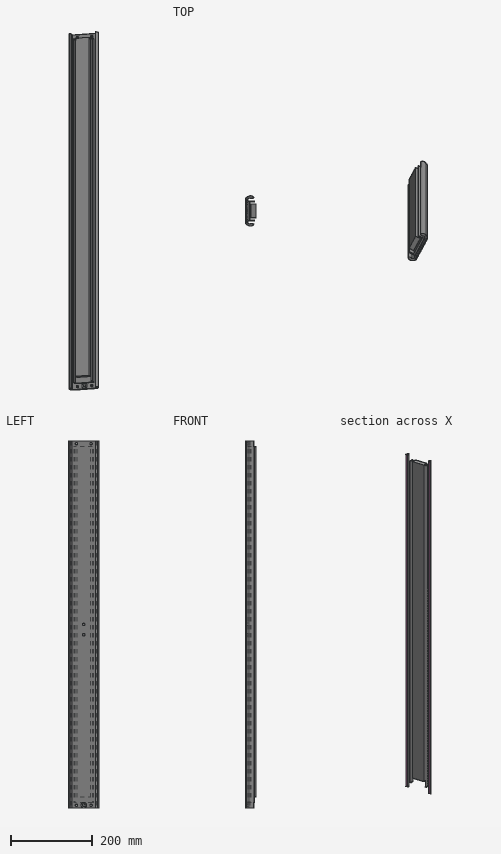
import cadquery as cq

LENGTH = 900.0
TOTAL_DEPTH = 26.0
WIDTH = 75.0
HALF_WIDTH = WIDTH / 2

PANEL_HALF_WIDTH = 29.0
PANEL_THICKNESS = 3.0
WEB_BACK = 6.0

SHOULDER_MID = (1.0, HALF_WIDTH - 6.0)
CREASE = (2.3, HALF_WIDTH - 4.2)
FLANK_MID = (5.5, HALF_WIDTH - 2.3)
FLANK_END = (9.0, HALF_WIDTH - 0.7)
CREST = (13.5, HALF_WIDTH)
TIP = (21.0, HALF_WIDTH - 4.95)
BULGE = (16.0, HALF_WIDTH - 6.75)
NECK = (11.0, HALF_WIDTH - 5.0)
WEB_CORNER = (WEB_BACK, PANEL_HALF_WIDTH + 1.0)

MOUNTING_DIAMETER = 5.0
MOUNTING_Y = 18.0
END_ROW_Z = LENGTH / 2 - 7.0
CENTRE_DIAMETER = 6.1
CENTRE_SPACING = 25.0

BUSHING_DIAMETER = 13.5
BUSHING_BORE = 5.0
FUNNEL_DEPTH = 4.0

CHANNEL_HALF_WIDTH = 24.0
CHANNEL_WALL = 3.0
CHANNEL_FLOOR = 4.5
CHANNEL_BACK = 22.5
CHANNEL_TOP = 436.0
CHANNEL_BOTTOM = -CHANNEL_TOP

BAR_FRONT = 13.5
BAR_HALF_WIDTH = 17.0
BAR_BOTTOM = -422.0


def block(front, back, half_width, bottom, top):
    """Block between two X planes and two Z levels, symmetric about Y = 0."""
    return (
        cq.Workplane("XY")
        .box(back - front, 2 * half_width, top - bottom, centered=(False, True, False))
        .translate((front, 0, bottom))
    )


def cylinder_through_web(diameter, y, z):
    """Cylinder along X from the panel face to the back of the web."""
    return cq.Workplane("YZ").center(y, z).circle(diameter / 2).extrude(WEB_BACK)


def make_face_holes():
    """All the openings shared by the panel and the web."""
    holes = cylinder_through_web(BUSHING_DIAMETER, 0, -END_ROW_Z)
    for z in (-END_ROW_Z, END_ROW_Z):
        for y in (-MOUNTING_Y, MOUNTING_Y):
            holes = holes.union(cylinder_through_web(MOUNTING_DIAMETER, y, z))
    for z in (0, -CENTRE_SPACING):
        holes = holes.union(cylinder_through_web(CENTRE_DIAMETER, 0, z))
    return holes


def make_panel(holes):
    panel = block(0, PANEL_THICKNESS, PANEL_HALF_WIDTH, -LENGTH / 2, LENGTH / 2)
    return panel.cut(holes)


def make_profile(holes):
    """Web behind the panel with a curved lip along each long edge."""
    half = (
        cq.Workplane("XY", origin=(0, 0, -LENGTH / 2))
        .moveTo(PANEL_THICKNESS, 0)
        .lineTo(PANEL_THICKNESS, PANEL_HALF_WIDTH)
        .lineTo(0, PANEL_HALF_WIDTH)
        .threePointArc(SHOULDER_MID, CREASE)
        .threePointArc(FLANK_MID, FLANK_END)
        .threePointArc(CREST, TIP)
        .threePointArc(BULGE, NECK)
        .lineTo(*WEB_CORNER)
        .lineTo(WEB_BACK, 0)
        .close()
        .extrude(LENGTH)
    )
    return half.union(half.mirror("XZ")).clean().cut(holes)


def make_bushing():
    """Round bushing, flush with the panel, with a funnel leading into its bore."""
    body = cylinder_through_web(BUSHING_DIAMETER, 0, -END_ROW_Z)
    bore = cylinder_through_web(BUSHING_BORE, 0, -END_ROW_Z)
    funnel = (
        cq.Workplane("YZ")
        .center(0, -END_ROW_Z)
        .circle(BUSHING_DIAMETER / 2)
        .workplane(offset=FUNNEL_DEPTH)
        .circle(BUSHING_BORE / 2)
        .loft()
    )
    return body.cut(bore).cut(funnel)


def make_channel():
    """U-shaped channel, open to the back and at both ends."""
    outside = block(WEB_BACK, CHANNEL_BACK, CHANNEL_HALF_WIDTH, CHANNEL_BOTTOM, CHANNEL_TOP)
    inner_half_width = CHANNEL_HALF_WIDTH - CHANNEL_WALL
    inside = block(WEB_BACK + CHANNEL_FLOOR, CHANNEL_BACK, inner_half_width, CHANNEL_BOTTOM, CHANNEL_TOP)
    return outside.cut(inside)


def make_bar():
    return block(BAR_FRONT, TOTAL_DEPTH, BAR_HALF_WIDTH, BAR_BOTTOM, CHANNEL_TOP)


face_holes = make_face_holes()
panel = make_panel(face_holes)
profile = make_profile(face_holes)
bushing = make_bushing()
channel = make_channel()
bar = make_bar()

bodies = [panel, profile, bushing, channel, bar]
result = cq.Compound.makeCompound([body.solids().val() for body in bodies])